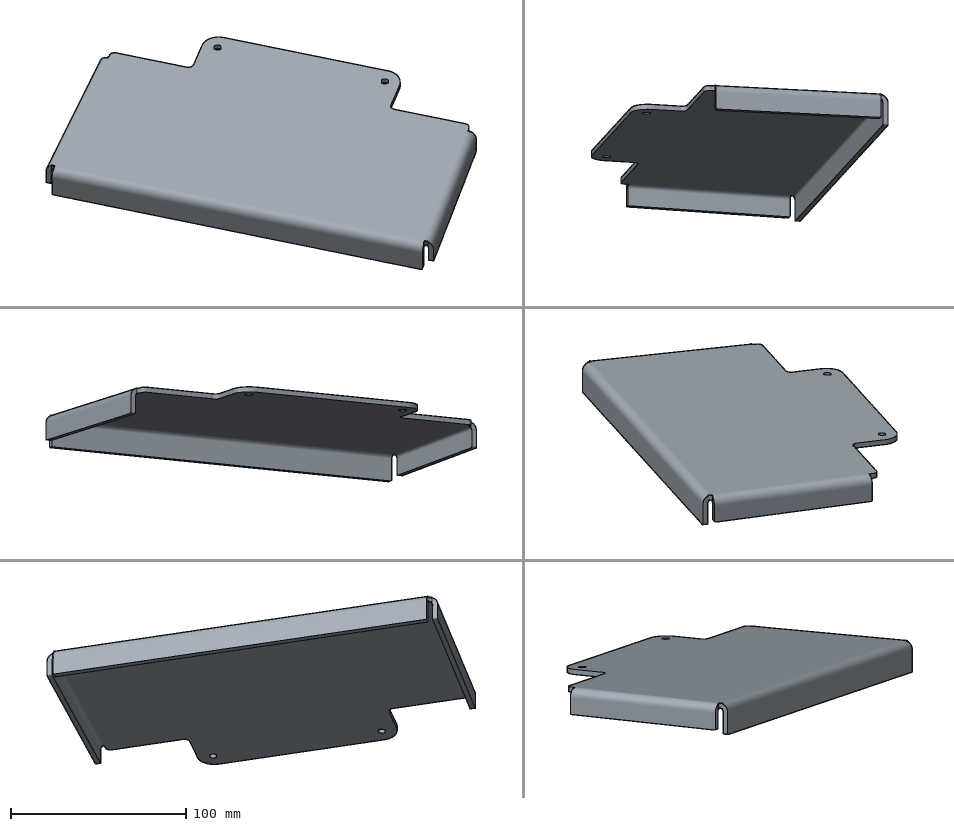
import cadquery as cq
import math

overall_width = 231.0
overall_depth = 136.5
thickness = 3.0
bend_radius = 5.0
inner_radius = bend_radius - thickness

front_flange_height = 18.0
side_flange_height = 15.0
flange_corner_radius = 1.0
front_web_radius = 1.8
rear_web_radius = 1.5
web_overlap = 0.2

shoulder_y = 106.5
side_flange_end_y = 101.2
shoulder_half_width = 107.2
shoulder_radius = 3.0

tab_half_width = 59.0
tab_corner_radius = 10.0
hole_diameter = 4.2
hole_inset = 9.0

bend_start_y = bend_radius
side_run = side_flange_end_y - bend_start_y
front_half_width = overall_width / 2 - bend_radius
taper_angle = math.atan((front_half_width - shoulder_half_width) / side_run)
side_flange_length = math.hypot(front_half_width - shoulder_half_width, side_run)


def make_panel():
    right_side = [
        (front_half_width, bend_start_y),
        (shoulder_half_width, side_flange_end_y),
        (shoulder_half_width, shoulder_y),
        (tab_half_width, shoulder_y),
        (tab_half_width, overall_depth),
    ]
    left_side = [(-x, y) for x, y in reversed(right_side)]
    panel = cq.Workplane("XY").polyline(right_side + left_side).close().extrude(-thickness)

    def round_corners(body, half_width, y, radius):
        for x in (-half_width, half_width):
            corner = cq.selectors.BoxSelector((x - 0.2, y - 0.2, -thickness), (x + 0.2, y + 0.2, 0))
            body = body.edges(corner).edges("|Z").fillet(radius)
        return body

    panel = round_corners(panel, shoulder_half_width, shoulder_y, shoulder_radius)
    panel = round_corners(panel, tab_half_width, shoulder_y, shoulder_radius)
    panel = round_corners(panel, tab_half_width, overall_depth, tab_corner_radius)

    hole_x = tab_half_width - hole_inset
    hole_y = overall_depth - hole_inset
    holes = (
        cq.Workplane("XY")
        .pushPoints([(-hole_x, hole_y), (hole_x, hole_y)])
        .circle(hole_diameter / 2)
        .extrude(-thickness)
    )
    return panel.cut(holes)


def make_flange(start, direction, outward, length, height):
    """Bend and flange swept from a bend-line point, with rounded lower corners."""
    plane = cq.Plane(origin=start, xDir=outward, normal=direction)
    up = plane.yDir.z
    diagonal = math.sqrt(0.5)
    outer_mid = (bend_radius * diagonal, up * bend_radius * (diagonal - 1))
    inner_mid = (inner_radius * diagonal, up * (inner_radius * diagonal - bend_radius))
    return (
        cq.Workplane(plane)
        .moveTo(0, 0)
        .threePointArc(outer_mid, (bend_radius, -up * bend_radius))
        .lineTo(bend_radius, -up * height)
        .lineTo(inner_radius, -up * height)
        .lineTo(inner_radius, -up * bend_radius)
        .threePointArc(inner_mid, (0, -up * thickness))
        .close()
        .extrude(length)
        .faces("<Z")
        .edges(cq.selectors.ParallelDirSelector(cq.Vector(*outward)))
        .fillet(flange_corner_radius)
    )


def make_corner_web(side, y_side, half_width, y, radius):
    """Flat web with a concave round edge filling a corner outside the panel."""
    size = radius + web_overlap
    web_offset = (radius - web_overlap) / 2
    return (
        cq.Workplane("XY")
        .center(side * (half_width + web_offset), y + y_side * web_offset)
        .rect(size, size)
        .extrude(-thickness)
        .cut(
            cq.Workplane("XY")
            .center(side * (half_width + radius), y + y_side * radius)
            .circle(radius)
            .extrude(-thickness)
        )
    )


result = make_panel().union(
    make_flange(
        (-front_half_width, bend_start_y, 0), (1, 0, 0), (0, -1, 0),
        2 * front_half_width, front_flange_height,
    )
)

for side in (-1, 1):
    along = (-side * math.sin(taper_angle), math.cos(taper_angle), 0)
    outward = (side * math.cos(taper_angle), math.sin(taper_angle), 0)
    result = result.union(
        make_flange(
            (side * front_half_width, bend_start_y, 0), along, outward,
            side_flange_length, side_flange_height,
        )
    )

for side in (-1, 1):
    result = result.union(make_corner_web(side, -1, front_half_width, bend_start_y, front_web_radius))
    result = result.union(make_corner_web(side, 1, shoulder_half_width, side_flange_end_y, rear_web_radius))